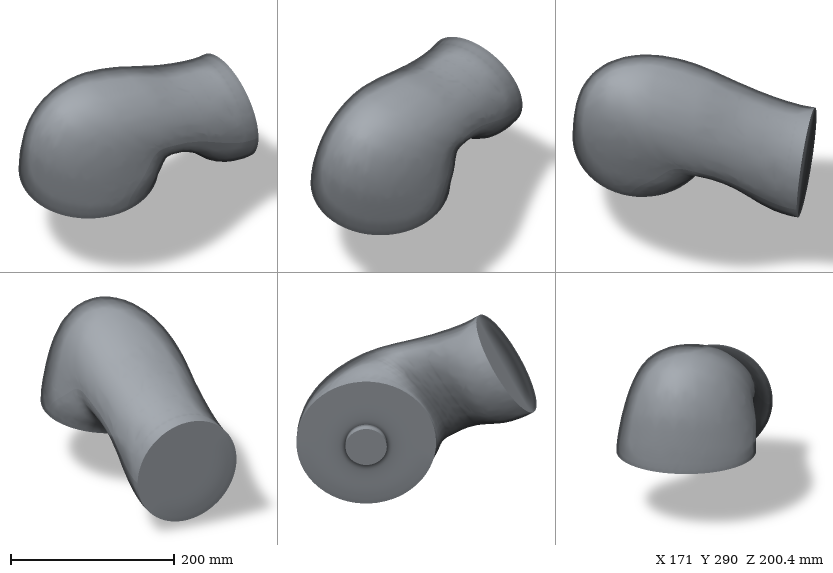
import cadquery as cq
import math

length = 290.0
mouth_radius = 85.5
neck_radius = 68.2
neck_end = length - mouth_radius
boss_radius = 25.2
boss_height = 11.0

neck_section = ((neck_end, neck_radius), (neck_end, -neck_radius), neck_radius, 0.5)
bend_sections = [
    ((192.8, 69.0), (190.0, -67.3), 68.0, 0.5),
    ((176.3, 72.5), (166.0, -57.7), 67.0, 0.5),
    ((131.0, 86.7), (139.8, -31.0), 65.5, 0.5),
    ((87.3, 107.3), (116.0, -7.5), 66.5, 0.46),
    ((39.5, 125.0), (102.0, 2.5), 70.0, 0.44),
    ((-6.0, 131.7), (94.2, 6.0), 72.5, 0.42),
    ((-52.5, 115.5), (89.0, 6.7), 77.7, 0.37),
    ((-79.0, 72.8), (86.7, 5.2), 82.5, 0.4),
    ((-84.5, 32.2), (85.8, 2.5), 84.7, 0.47),
]
mouth_section = ((-mouth_radius, 0.0), (mouth_radius, 0.0), mouth_radius, 0.5)


def section_wire(crest, underside, half_width, widest_fraction):
    """Two half ellipses meeting at the widest place, symmetric about the YZ plane."""
    crest_y, crest_z = crest
    under_y, under_z = underside
    rise_y = crest_y - under_y
    rise_z = crest_z - under_z
    depth = math.hypot(rise_y, rise_z)
    center_y = under_y + widest_fraction * rise_y
    center_z = under_z + widest_fraction * rise_z
    across = cq.Vector(1, 0, 0)
    toward_crest = cq.Vector(0, rise_y, rise_z).normalized()
    center = cq.Vector(0, center_y, center_z)
    normal = across.cross(toward_crest)

    def half_ellipse(half_depth, start_angle):
        end_angle = start_angle + 180
        if half_width >= half_depth:
            return cq.Edge.makeEllipse(
                half_width, half_depth, center, normal, across, start_angle, end_angle, 1
            )
        return cq.Edge.makeEllipse(
            half_depth, half_width, center, normal, toward_crest, start_angle - 90, end_angle - 90, 1
        )

    upper = half_ellipse((1 - widest_fraction) * depth, 0)
    lower = half_ellipse(widest_fraction * depth, 180)
    return cq.Wire.assembleEdges([upper, lower])


def make_body():
    """Smooth hooded elbow through all sections, from the neck to the mouth."""
    sections = [neck_section] + bend_sections + [mouth_section]
    wires = [section_wire(*section) for section in sections]
    return cq.Workplane(cq.Solid.makeLoft(wires))


def make_boss():
    """Short round boss below the centre of the mouth, rooted inside the body."""
    return cq.Workplane("XY").circle(boss_radius).extrude(boss_height, both=True)


result = make_body().union(make_boss())